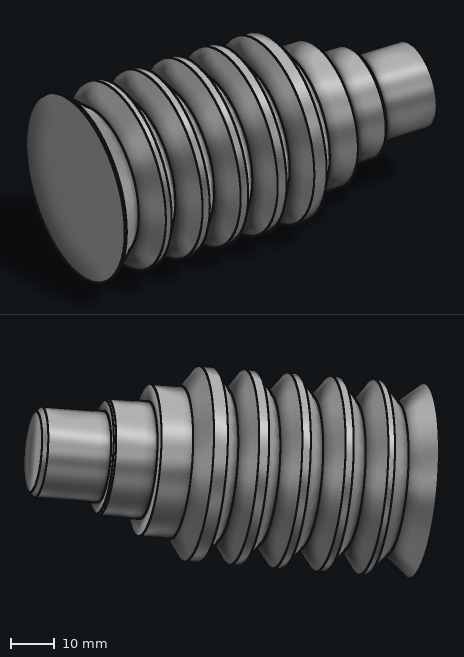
import cadquery as cq

length = 90.5
bellows_diameter = 45.0

foot_rim_width = 0.5
neck_position = 6.5
neck_diameter = 35.3

shoulder_diameter = 35.0
narrow_valley_diameter = 34.3
bellows_end = 57.0
rings = [
    (10.9, 12.4, 16.5, narrow_valley_diameter),
    (20.5, 22.4, 26.5, shoulder_diameter),
    (30.6, 32.6, 36.6, shoulder_diameter),
    (40.4, 42.7, 46.4, shoulder_diameter),
    (50.05, 53.3, bellows_end, shoulder_diameter),
]

shoulder_end = 64.4
collar_diameter = 27.0
collar_end = 74.6
collar_chamfer = 0.45
stem_diameter = 21.0
stem_chamfer = 1.2


def bellows_profile():
    """Return (radius, Y) points from the flat face to the end of the last ring."""
    rim_radius = bellows_diameter / 2
    neck_radius = neck_diameter / 2
    points = [
        (rim_radius, 0),
        (rim_radius, foot_rim_width),
        (neck_radius, neck_position),
    ]
    for rim_start, rim_end, ring_end, end_diameter in rings:
        points.append((rim_radius, rim_start))
        points.append((rim_radius, rim_end))
        points.append((end_diameter / 2, ring_end))
    return points


def chamfered_step(start, end, diameter, chamfer):
    """Return (radius, Y) points of a cylinder chamfered at its far end."""
    radius = diameter / 2
    return [(radius, start), (radius, end - chamfer), (radius - chamfer, end)]


profile = [(0, 0)]
profile += bellows_profile()
profile.append((shoulder_diameter / 2, shoulder_end))
profile += chamfered_step(shoulder_end, collar_end, collar_diameter, collar_chamfer)
profile += chamfered_step(collar_end, length, stem_diameter, stem_chamfer)
profile.append((0, length))

result = cq.Workplane("XY").polyline(profile).close().revolve(360, (0, 0, 0), (0, 1, 0))